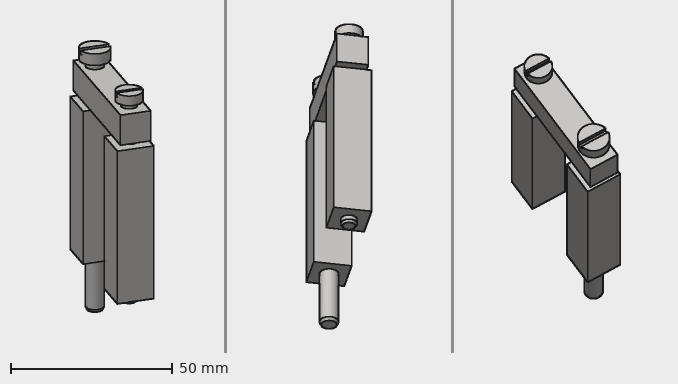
import cadquery as cq

total_height = 89.0
total_length = 44.0
block_side = 12.0

block_bottom = 18.7
block_top = 70.7
bar_bottom = 72.5
bar_top = 82.8

bar_depth = 10.0
leg_x = (total_length - block_side) / 2


def make_box(center_x, length, depth, bottom, top):
    """Box centred in Y between two levels."""
    box = cq.Workplane("XY").box(length, depth, top - bottom, centered=(True, True, False))
    return box.translate((center_x, 0, bottom))


def make_screw(center_x, tip, top, shank_diameter, head_diameter, head_height,
               slot_width, slot_depth, tip_inset, tip_height):
    """Slotted cheese-head screw with a tapered tip, pointing down."""
    head_radius = head_diameter / 2
    shank_radius = shank_diameter / 2
    head_bottom = top - head_height
    profile = [
        (0, tip),
        (shank_radius - tip_inset, tip),
        (shank_radius, tip + tip_height),
        (shank_radius, head_bottom),
        (head_radius, head_bottom),
        (head_radius, top),
        (0, top),
    ]
    screw = cq.Workplane("XZ").polyline(profile).close().revolve(360, (0, 0), (0, 1))
    slot = make_box(0, slot_width, head_diameter, top - slot_depth, top)
    return screw.cut(slot).translate((center_x, 0, 0))


bar = make_box(0, total_length, bar_depth, bar_bottom, bar_top)
left_leg = make_box(-leg_x, block_side, block_side, block_bottom, block_top)
right_leg = make_box(leg_x, block_side, block_side, block_bottom, block_top)

long_screw = make_screw(
    -leg_x, tip=0, top=total_height,
    shank_diameter=6.0, head_diameter=10.0, head_height=3.9,
    slot_width=1.6, slot_depth=1.4, tip_inset=0.5, tip_height=1.1,
)
short_screw = make_screw(
    leg_x, tip=16.3, top=87.9,
    shank_diameter=5.2, head_diameter=8.7, head_height=3.3,
    slot_width=1.2, slot_depth=1.4, tip_inset=0.5, tip_height=0.9,
)

result = bar.union(left_leg).union(right_leg).union(long_screw).union(short_screw)